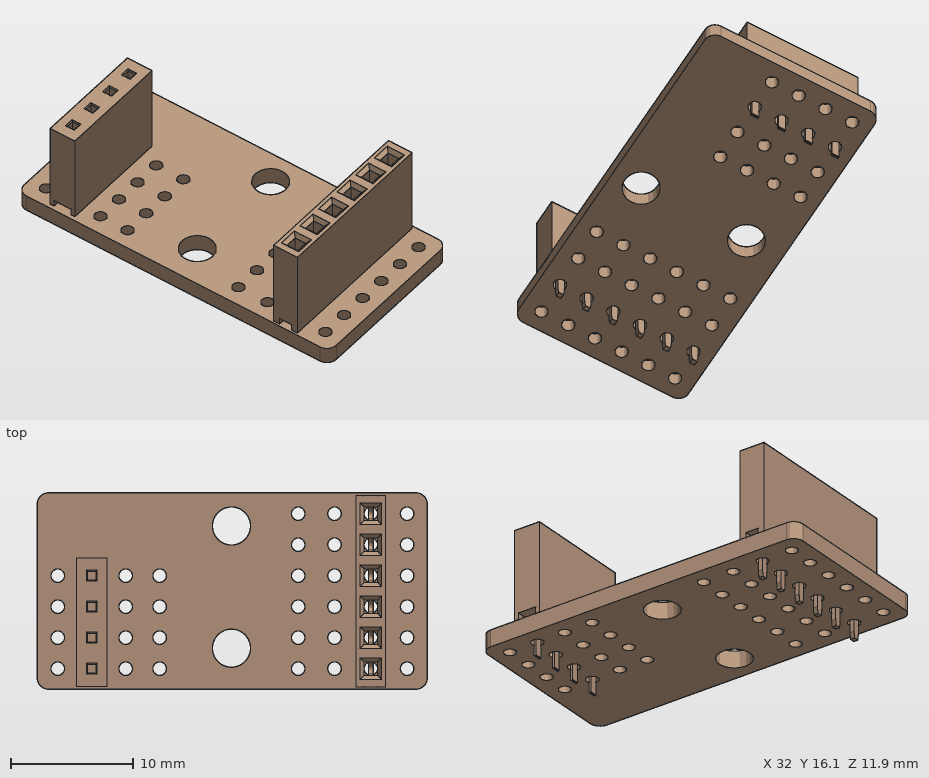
import cadquery as cq

overall_height = 11.9

board_length = 31.97
board_width = 16.1
board_thickness = 1.6
corner_radius = 0.95

hole_diameter = 1.1
first_row_y = -6.35
row_pitch = 12.7 / 5
short_row_count = 4
long_row_count = 6
short_column_pitch = 2.78
long_column_pitch = 2.97
short_header_x = -11.5
long_header_x = 11.35
short_columns = [short_header_x + i * short_column_pitch for i in (-1, 0, 1, 2)]
long_columns = [long_header_x + i * long_column_pitch for i in (-2, -1, 0, 1)]

mount_diameter = 3.1
mount_x = -0.05
mount_y = 0.32
mount_spacing = 10.0

short_housing_width = 2.53
short_housing_length = 10.55
short_housing_bottom = board_thickness + 0.2
short_housing_top = 10.3
short_channel_width = 1.73
short_channel_roof = board_thickness + 0.8
short_socket_size = 0.7
short_socket_mouth = 0.9
short_socket_depth = 5.1
blade_thickness = 0.2
blade_width = 0.67
blade_bottom = -1.4
blade_tip_chamfer = 0.05

long_housing_width = 2.43
long_housing_length = 15.65
long_housing_top = 10.1
long_channel_width = 1.2
long_channel_roof = board_thickness + 0.6
long_socket_size = 1.1
long_socket_mouth = 1.75
contact_thickness = 0.4
contact_height = 1.92
cup_floor_height = 0.48
cup_arc_height = 0.8
cup_arc_width = 0.77
post_width = 0.6
post_bottom = short_housing_top - overall_height
post_tip_width = 0.45
post_taper_height = 0.6


def row_positions(row_count):
    return [first_row_y + i * row_pitch for i in range(row_count)]


def row_centre(row_count):
    return first_row_y + (row_count - 1) * row_pitch / 2


def make_board():
    grid = [(x, y) for x in short_columns for y in row_positions(short_row_count)]
    grid += [(x, y) for x in long_columns for y in row_positions(long_row_count)]
    mounts = [(mount_x, mount_y + side * mount_spacing / 2) for side in (-1, 1)]
    board = cq.Workplane("XY").rect(board_length, board_width).extrude(board_thickness)
    board = board.edges("|Z").fillet(corner_radius)
    grid_holes = cq.Workplane("XY").pushPoints(grid).circle(hole_diameter / 2).extrude(board_thickness)
    mount_holes = cq.Workplane("XY").pushPoints(mounts).circle(mount_diameter / 2).extrude(board_thickness)
    return board.cut(grid_holes).cut(mount_holes)


def box(x, y, size_x, size_y, bottom, top):
    """Box centred on (x, y) that spans bottom to top in Z."""
    return cq.Workplane("XY", origin=(x, y, bottom)).rect(size_x, size_y).extrude(top - bottom)


def channelled_housing(x, y, width, length, bottom, top, channel_width, channel_roof):
    """Header housing with a channel along the full length of its underside."""
    housing = box(x, y, width, length, bottom, top)
    return housing.cut(box(x, y, channel_width, length, bottom, channel_roof))


def socket_cutter(x, y, size, mouth, bottom, top):
    """Square socket with a 45 degree lead-in at its top."""
    lead_in = (mouth - size) / 2
    shaft = box(x, y, size, size, bottom, top)
    funnel = (
        cq.Workplane("XY", origin=(x, y, top - lead_in))
        .rect(size, size)
        .workplane(offset=lead_in)
        .rect(mouth, mouth)
        .loft()
    )
    return shaft.union(funnel)


def make_blade(x, y):
    """Flat pin of the short header, ending in a chamfered tip."""
    blade = box(x, y, blade_thickness, blade_width, blade_bottom, short_channel_roof)
    return blade.faces("<Z").edges("|Y").chamfer(blade_tip_chamfer)


def make_short_header():
    header = channelled_housing(
        short_header_x, row_centre(short_row_count), short_housing_width, short_housing_length,
        short_housing_bottom, short_housing_top, short_channel_width, short_channel_roof,
    )
    socket_floor = short_housing_top - short_socket_depth
    for y in row_positions(short_row_count):
        header = header.cut(
            socket_cutter(
                short_header_x, y, short_socket_size, short_socket_mouth, socket_floor, short_housing_top
            )
        )
        header = header.union(make_blade(short_header_x, y))
    return header


def make_contact(x, y):
    """Cupped contact that spans its socket in Y, with a tapered post below."""
    half_span = long_socket_size / 2
    half_arc = cup_arc_width / 2
    half_post = post_width / 2
    half_tip = post_tip_width / 2
    taper_top = post_bottom + post_taper_height
    roof = long_channel_roof
    profile = (
        cq.Workplane("YZ", origin=(x, y, 0))
        .moveTo(-half_tip, post_bottom)
        .lineTo(half_tip, post_bottom)
        .lineTo(half_post, taper_top)
        .lineTo(half_post, roof)
        .lineTo(half_span, roof)
        .lineTo(half_span, roof + contact_height)
        .lineTo(half_arc, roof + cup_arc_height)
        .threePointArc((0, roof + cup_floor_height), (-half_arc, roof + cup_arc_height))
        .lineTo(-half_span, roof + contact_height)
        .lineTo(-half_span, roof)
        .lineTo(-half_post, roof)
        .lineTo(-half_post, taper_top)
        .close()
    )
    return profile.extrude(contact_thickness / 2, both=True)


def make_long_header():
    header = channelled_housing(
        long_header_x, row_centre(long_row_count), long_housing_width, long_housing_length,
        board_thickness, long_housing_top, long_channel_width, long_channel_roof,
    )
    for y in row_positions(long_row_count):
        header = header.cut(
            socket_cutter(
                long_header_x, y, long_socket_size, long_socket_mouth, long_channel_roof, long_housing_top
            )
        )
        header = header.union(make_contact(long_header_x, y))
    return header


board = make_board()
short_header = make_short_header()
long_header = make_long_header()

result = cq.Compound.makeCompound([board.val(), short_header.val(), long_header.val()])